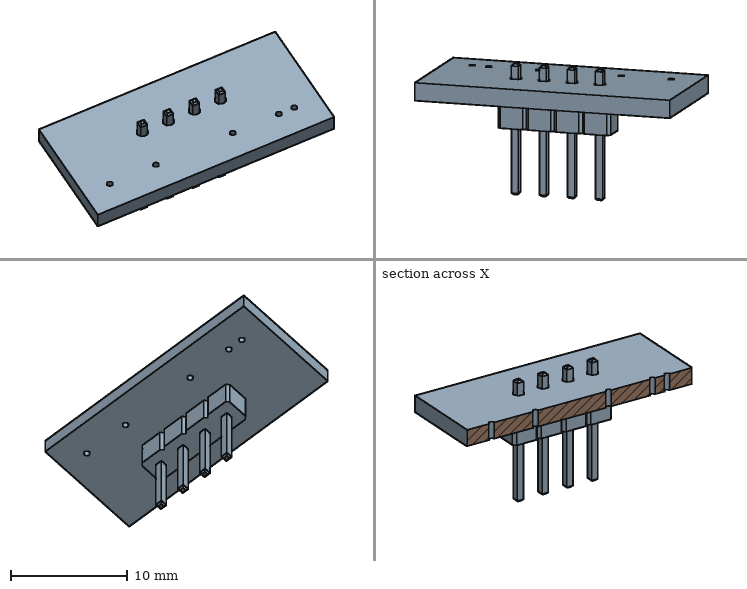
import cadquery as cq

BOARD_WIDTH = 10.8
BOARD_LENGTH = 23.1
BOARD_THICKNESS = 1.6

VIA_DIAMETER = 0.5
VIA_X = 2.85
VIA_GRID = 1.5
VIA_STEPS = [-6, -3, 2, 5, 6]

PIN_COUNT = 4
PIN_PITCH = 2.55
HEADER_X = -0.95
PIN_HOLE_DIAMETER = 1.0
PIN_SIDE = 0.65
PIN_LENGTH = 11.53
PIN_ABOVE_BOARD = 1.3
PIN_TIP_CHAMFER = 0.16
STRIP_HEIGHT = 2.55
STRIP_CORNER_CHAMFER = 0.25
STRIP_GAP = 0.1

PIN_TOP = BOARD_THICKNESS + PIN_ABOVE_BOARD
PIN_BOTTOM = PIN_TOP - PIN_LENGTH
STRIP_BOTTOM = -STRIP_GAP - STRIP_HEIGHT
PIN_POSITIONS = [
    (HEADER_X, (index - (PIN_COUNT - 1) / 2) * PIN_PITCH) for index in range(PIN_COUNT)
]
VIA_POSITIONS = [(VIA_X, step * VIA_GRID) for step in VIA_STEPS]


def drills(positions, diameter):
    """Cylinders through the full board thickness, used as cutters."""
    return cq.Workplane("XY").pushPoints(positions).circle(diameter / 2).extrude(BOARD_THICKNESS)


def make_board():
    board = cq.Workplane("XY").rect(BOARD_WIDTH, BOARD_LENGTH).extrude(BOARD_THICKNESS)
    board = board.cut(drills(PIN_POSITIONS, PIN_HOLE_DIAMETER))
    return board.cut(drills(VIA_POSITIONS, VIA_DIAMETER))


def make_strip_cell():
    """Plastic block around one pin, with its four upright corners chamfered."""
    return (
        cq.Workplane("XY", origin=(0, 0, STRIP_BOTTOM))
        .rect(PIN_PITCH, PIN_PITCH)
        .extrude(STRIP_HEIGHT)
        .edges("|Z")
        .chamfer(STRIP_CORNER_CHAMFER)
    )


def make_pin():
    """Square pin with both tips chamfered on all four sides."""
    return (
        cq.Workplane("XY", origin=(0, 0, PIN_BOTTOM))
        .rect(PIN_SIDE, PIN_SIDE)
        .extrude(PIN_LENGTH)
        .faces("<Z or >Z")
        .chamfer(PIN_TIP_CHAMFER)
    )


def make_header():
    """Pins and plastic strip as one solid; neighbouring cells join face to face."""
    cell_with_pin = make_strip_cell().union(make_pin())
    header = cq.Workplane("XY")
    for x, y in PIN_POSITIONS:
        header = header.union(cell_with_pin.translate((x, y, 0)))
    return header


board = make_board()
header = make_header()

result = cq.Compound.makeCompound([board.solids().val(), header.solids().val()])